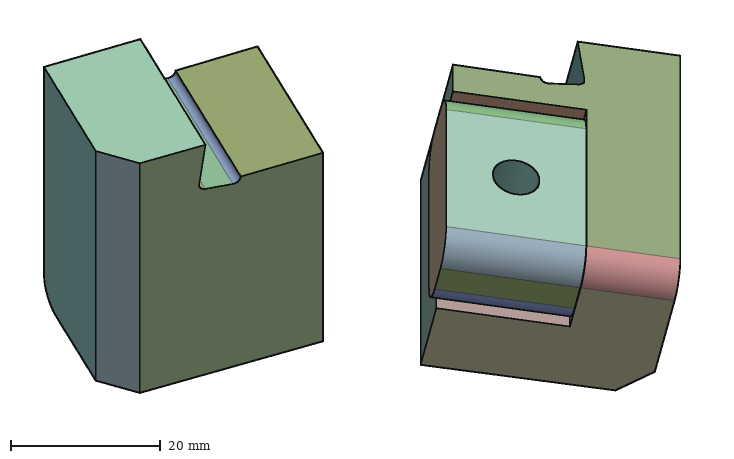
import cadquery as cq
import math

insert_thickness = 12.0
insert_length = 19.05
insert_height = 30.0
insert_corner_radius = 4.0
hole_diameter = 6.35

insert_proud = 0.45
insert_overhang = 1.0
overall_width = 23.0
overall_height = 42.6
body_depth = 31.0
body_corner_radius = 4.0
side_taper = math.radians(0.5)
front_chamfer = 4.5

lip_depth = 14.0
undercut_angle = math.radians(7.5)
undercut_corner_height = 34.65
undercut_corner_radius = 1.0
groove_floor_end = 17.95
groove_back = 19.1
ledge_back_height = 35.05
ledge_slope = math.radians(0.5)

pocket_front_gap = 0.15

body_left = insert_proud
body_bottom = insert_proud
insert_back = body_depth + insert_overhang
insert_front = insert_back - insert_length
pocket_front = insert_front - pocket_front_gap


def extrude_along_x(profile_yz, start, end):
    """Extrude a YZ outline from x = start to x = end."""
    return profile_yz.extrude(end - start).translate((start, 0, 0))


def make_stepped_block():
    """Block with a leaning lip at the front, a tilted groove behind it and a low ledge at the back."""
    sine = math.sin(undercut_angle)
    cosine = math.cos(undercut_angle)
    slant = math.tan(undercut_angle)

    corner_y = lip_depth - (overall_height - undercut_corner_height) * slant
    corner_z = undercut_corner_height
    wall_end = (corner_y + undercut_corner_radius * sine, corner_z + undercut_corner_radius * cosine)
    floor_start = (corner_y + undercut_corner_radius * cosine, corner_z - undercut_corner_radius * sine)
    floor_end = (groove_floor_end, corner_z - (groove_floor_end - corner_y) * slant)
    ledge_front_height = ledge_back_height - (body_depth - groove_back) * math.tan(ledge_slope)

    outline = (
        cq.Workplane("YZ")
        .moveTo(0, body_bottom)
        .lineTo(0, overall_height)
        .lineTo(lip_depth, overall_height)
        .lineTo(*wall_end)
        .tangentArcPoint(floor_start, relative=False)
        .lineTo(*floor_end)
        .tangentArcPoint((groove_back, ledge_front_height), relative=False)
        .lineTo(body_depth, ledge_back_height)
        .lineTo(body_depth, body_bottom)
        .close()
    )
    return extrude_along_x(outline, body_left, overall_width)


def make_plan_prism():
    """Full-height prism with the tapered right side and the chamfered front edge."""
    chamfer_right = overall_width - (body_depth - front_chamfer) * math.tan(side_taper)
    return (
        cq.Workplane("XY")
        .moveTo(body_left, 0)
        .lineTo(chamfer_right - front_chamfer, 0)
        .lineTo(chamfer_right, front_chamfer)
        .lineTo(overall_width, body_depth)
        .lineTo(body_left, body_depth)
        .close()
        .extrude(overall_height)
    )


def make_pocket():
    """Square-cornered space for the insert, open at the left, the bottom and the back."""
    return cq.Workplane("XY").box(
        insert_thickness, insert_back - pocket_front, insert_height, centered=False
    ).translate((0, pocket_front, 0))


def make_body():
    body = make_stepped_block().intersect(make_plan_prism())
    body = body.edges("|Y and <X and <Z").fillet(body_corner_radius)
    return body.cut(make_pocket())


def make_insert():
    plate = cq.Workplane("XY").box(insert_thickness, insert_length, insert_height, centered=False)
    plate = plate.edges("|Y").fillet(insert_corner_radius)
    hole = (
        cq.Workplane("YZ")
        .center(insert_length / 2, insert_height / 2)
        .circle(hole_diameter / 2)
        .extrude(insert_thickness)
    )
    return plate.cut(hole).translate((0, insert_front, 0))


body = make_body()
insert = make_insert()

result = cq.Compound.makeCompound([body.val(), insert.val()])